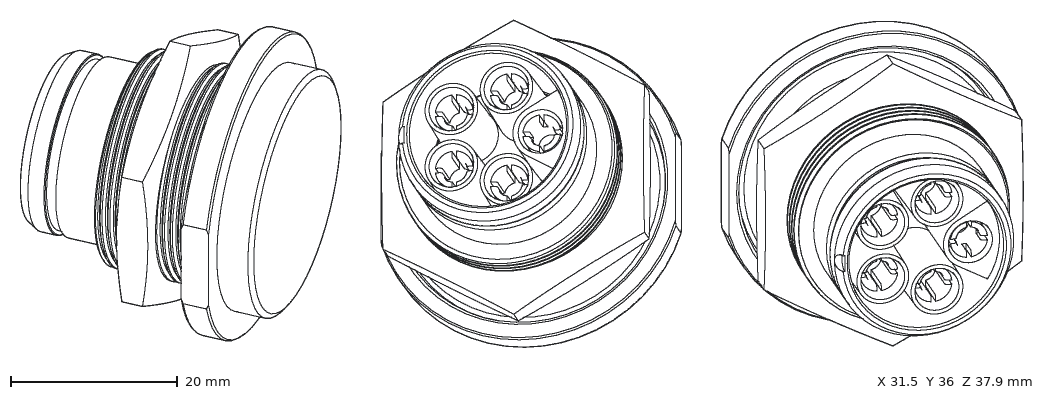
import cadquery as cq
import math


total_length = 31.5
nose_chamfer_end = 1.25
nose_land_end = 3.4
nose_groove_end = 4.8
thread_start = 10.5
flange_front = 23.5
flange_back = 27.05

nose_tip_radius = 10.45
nose_radius = 11.15
nose_groove_radius = 10.53
thread_radius = 13.45
flange_radius = 18.95
rear_radius = 15.25

land_break = 0.1
thread_lead_chamfer = 0.4
flange_chamfer_length = 0.25
flange_chamfer_drop = 0.2
rear_chamfer_length = 0.5
rear_chamfer_drop = 0.7
flange_flat_width = 36.0

thread_turns = 12
thread_groove_start = 10.25
thread_groove_end = 22.25
thread_depth = 0.45
groove_mouth_width = 0.75
groove_root_width = 0.23

nut_front = 14.45
nut_back = 18.48
nut_across_flats = 32.0
nut_chamfer_length = 0.7

ring_center_radius = 14.77
ring_section_radius = 1.17
ring_protrusion = 0.5
ring_groove_mouth_radius = 17.08
ring_groove_lip_radius = 16.7
ring_groove_floor_radius = 16.45
ring_groove_depth = 1.7

cavity_radius = 9.62
cavity_mouth_chamfer = 0.25
cavity_floor = 13.65
floor_disc_radius = 9.3
floor_disc_height = 0.55

socket_count = 5
socket_circle_radius = 6.02
socket_front = 2.15
socket_tip_radius = 3.22
socket_root_radius = 3.45
socket_bore_radius = 2.73
socket_bore_floor = 8.35
earth_wedge_radius = 3.37
earth_wedge_half_angle = 30

contact_front = 3.8
earth_contact_front = 2.85
contact_radius = 2.3
contact_bore_radius = 1.5
contact_mouth_fillet = 0.38
contact_slot_width = 0.55
earth_slot_end = 5.1

notch_width = 2.05
notch_floor_radius = 10.2


def revolve(points):
    """Solid of revolution about X from (x, radius) points."""
    return cq.Workplane("XY").polyline(points).close().revolve(360, (0, 0, 0), (1, 0, 0))


def cylinder(start, end, radius, y=0, z=0):
    """Cylinder parallel to X."""
    return cq.Workplane("YZ", origin=(start, y, z)).circle(radius).extrude(end - start)


def make_shell():
    shoulder = flange_radius - flange_chamfer_drop
    shell = revolve([
        (0, 0),
        (0, nose_tip_radius),
        (nose_chamfer_end, nose_radius),
        (nose_land_end - land_break, nose_radius),
        (nose_land_end, nose_radius - land_break),
        (nose_land_end, nose_groove_radius),
        (nose_groove_end, nose_groove_radius),
        (nose_groove_end, nose_radius),
        (thread_start, nose_radius),
        (thread_start, thread_radius - thread_lead_chamfer),
        (thread_start + thread_lead_chamfer, thread_radius),
        (flange_front, thread_radius),
        (flange_front, shoulder),
        (flange_front + flange_chamfer_length, flange_radius),
        (flange_back - flange_chamfer_length, flange_radius),
        (flange_back, shoulder),
        (flange_back, rear_radius),
        (total_length - rear_chamfer_length, rear_radius),
        (total_length, rear_radius - rear_chamfer_drop),
        (total_length, 0),
    ])
    side_flats = cq.Workplane("XY").box(
        total_length, flange_flat_width, 2 * flange_radius, centered=(False, True, True)
    )
    return shell.intersect(side_flats)


def make_thread_groove():
    """Right-handed helical groove of trapezoidal section."""
    overshoot = 0.1
    flank = (groove_mouth_width - groove_root_width) / 2 / thread_depth
    root_half = groove_root_width / 2
    outer_half = root_half + flank * (thread_depth + overshoot)
    root = thread_radius - thread_depth
    outer = thread_radius + overshoot
    groove_length = thread_groove_end - thread_groove_start
    helix = cq.Wire.makeHelix(groove_length / thread_turns, groove_length, root)
    groove = (
        cq.Workplane("XZ")
        .polyline([(root, -root_half), (root, root_half), (outer, outer_half), (outer, -outer_half)])
        .close()
        .sweep(cq.Workplane(helix), isFrenet=True)
    )
    return groove.rotate((0, 0, 0), (0, 1, 0), 90).translate((thread_groove_start, 0, 0))


def make_nut():
    vertex_radius = nut_across_flats / math.sqrt(3)
    face_radius = nut_across_flats / 2
    hexagon = (
        cq.Workplane("YZ", origin=(nut_front, 0, 0))
        .polygon(6, 2 * vertex_radius)
        .extrude(nut_back - nut_front)
        .rotate((0, 0, 0), (1, 0, 0), 30)
    )
    envelope = revolve([
        (nut_front, 0),
        (nut_front, face_radius),
        (nut_front + nut_chamfer_length, vertex_radius),
        (nut_back - nut_chamfer_length, vertex_radius),
        (nut_back, face_radius),
        (nut_back, 0),
    ])
    return hexagon.intersect(envelope)


def make_ring_groove():
    lip_depth = ring_groove_mouth_radius - ring_groove_lip_radius
    return revolve([
        (flange_front, thread_radius),
        (flange_front, ring_groove_mouth_radius),
        (flange_front + lip_depth, ring_groove_lip_radius),
        (flange_front + ring_groove_depth, ring_groove_floor_radius),
        (flange_front + ring_groove_depth, thread_radius),
    ])


def make_ring():
    center_x = flange_front - ring_protrusion + ring_section_radius
    return (
        cq.Workplane("XY")
        .center(center_x, ring_center_radius)
        .circle(ring_section_radius)
        .revolve(360, (-center_x, -ring_center_radius, 0), (0.38 - center_x, -ring_center_radius, 0))
    )


def make_cavity():
    """Open cavity whose floor carries a low tapered disc."""
    return revolve([
        (0, 0),
        (0, cavity_radius + cavity_mouth_chamfer),
        (cavity_mouth_chamfer, cavity_radius),
        (cavity_floor, cavity_radius),
        (cavity_floor - floor_disc_height, floor_disc_radius),
        (cavity_floor - floor_disc_height, 0),
    ])


def make_socket_post(y, z):
    """Free-standing post, tapering towards its tip."""
    return (
        cq.Workplane("YZ", origin=(socket_front, y, z))
        .circle(socket_tip_radius)
        .workplane(offset=cavity_floor - socket_front)
        .circle(socket_root_radius)
        .loft()
    )


def make_earth_wedge(y):
    """Wedge with a round inner nose, opening outwards until it meets the cavity wall."""
    angle = math.radians(earth_wedge_half_angle)
    tangent_y = y + earth_wedge_radius * math.sin(angle)
    tangent_z = earth_wedge_radius * math.cos(angle)
    outer_y = -cavity_radius - cavity_mouth_chamfer
    outer_z = tangent_z + (tangent_y - outer_y) * math.tan(angle)
    wedge = (
        cq.Workplane("YZ", origin=(socket_front, 0, 0))
        .moveTo(outer_y, -outer_z)
        .lineTo(tangent_y, -tangent_z)
        .threePointArc((y + earth_wedge_radius, 0), (tangent_y, tangent_z))
        .lineTo(outer_y, outer_z)
        .close()
        .extrude(cavity_floor - socket_front)
    )
    limit = cylinder(socket_front, cavity_floor, cavity_radius + cavity_mouth_chamfer)
    return wedge.intersect(limit)


def make_contact(front, slot_end, y, z):
    """Tubular contact with a rounded mouth and four slots."""
    contact = (
        cylinder(front, socket_bore_floor, contact_radius)
        .cut(cylinder(front, socket_bore_floor, contact_bore_radius))
        .faces("<X")
        .edges(cq.selectors.RadiusNthSelector(0))
        .fillet(contact_mouth_fillet)
    )
    slot_start = cq.Workplane("YZ", origin=(front, 0, 0))
    for length, width in (
        (2 * contact_radius, contact_slot_width),
        (contact_slot_width, 2 * contact_radius),
    ):
        contact = contact.cut(slot_start.rect(length, width).extrude(slot_end - front))
    return contact.translate((0, y, z))


def make_notch():
    """Round-ended notch cut radially into the rim."""
    notch_radius = notch_width / 2
    center_x = nose_chamfer_end - notch_radius
    notch_length = nose_radius - notch_floor_radius
    round_end = (
        cq.Workplane("XZ", origin=(center_x, nose_radius, 0)).circle(notch_radius).extrude(notch_length)
    )
    mouth = cq.Workplane("XY", origin=(0, notch_floor_radius, 0)).box(
        center_x, notch_length, notch_width, centered=(False, False, True)
    )
    return round_end.union(mouth)


result = make_shell().cut(make_cavity()).cut(make_notch())

for index in range(socket_count):
    direction = math.radians(360 / socket_count * index)
    socket_y = -socket_circle_radius * math.cos(direction)
    socket_z = socket_circle_radius * math.sin(direction)
    if index == 0:
        post = make_earth_wedge(socket_y)
        contact = make_contact(earth_contact_front, earth_slot_end, socket_y, socket_z)
    else:
        post = make_socket_post(socket_y, socket_z)
        contact = make_contact(contact_front, socket_bore_floor, socket_y, socket_z)
    bore = cylinder(socket_front, socket_bore_floor, socket_bore_radius, socket_y, socket_z)
    result = result.union(post.cut(bore).union(contact))

result = result.cut(make_ring_groove()).union(make_ring())

result = result.cut(make_thread_groove()).union(make_nut()).solids()